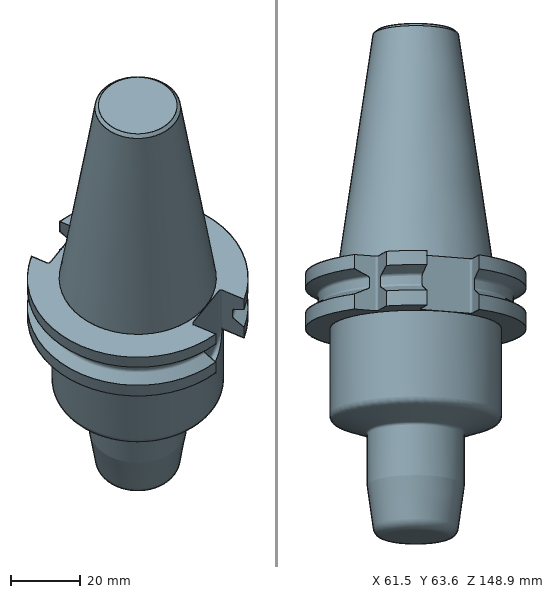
import cadquery as cq
import math

total_height = 148.9
flange_top = 77.5
flange_bottom = 61.3

shank_top_radius = 12.2
shank_slope = 7 / 24 / 2
shank_chamfer = 0.9

flange_radius = 31.79
groove_floor_radius = 28.1
groove_floor_width = 3.3
groove_root_fillet = 0.7
groove_wall_angle = 30.0
groove_center = 69.5

body_radius = 24.7
shoulder_start = 34.4
shoulder_angle = 20.0
shoulder_fillet = 2.1
nose_radius = 14.0
nose_root_fillet = 0.7
nose_cone_start = 15.0
nose_cone_angle = 8.0
nose_tip_fillet = 3.0

slot_width = 16.1
left_slot_floor = 24.9
right_slot_floor = 22.8
slot_floor_fillet = 0.7
notch_x = -18.6
notch_y = 18.6
notch_corner_fillet = 0.7


def tan_degrees(angle):
    return math.tan(math.radians(angle))


def fillet_circle(solid, height, radius):
    """Round the circular edge that lies at the given height."""
    margin = 0.1
    edge_zone = cq.selectors.BoxSelector(
        (-flange_radius - margin, -flange_radius - margin, height - margin),
        (flange_radius + margin, flange_radius + margin, height + margin),
        boundingbox=True,
    )
    return solid.edges(edge_zone).fillet(radius)


def make_shank():
    shank_height = total_height - flange_top
    base_radius = shank_top_radius + shank_height * shank_slope
    profile = [
        (0, flange_top),
        (base_radius, flange_top),
        (shank_top_radius, total_height),
        (0, total_height),
    ]
    shank = cq.Workplane("XZ").polyline(profile).close().revolve(360, (0, 0), (0, 1))
    return shank.faces(">Z").chamfer(shank_chamfer)


def make_flange():
    wall_rise = (flange_radius - groove_floor_radius) * tan_degrees(groove_wall_angle)
    floor_half = groove_floor_width / 2
    mouth_half = floor_half + wall_rise
    profile = [
        (0, flange_bottom),
        (flange_radius, flange_bottom),
        (flange_radius, groove_center - mouth_half),
        (groove_floor_radius, groove_center - floor_half),
        (groove_floor_radius, groove_center + floor_half),
        (flange_radius, groove_center + mouth_half),
        (flange_radius, flange_top),
        (0, flange_top),
    ]
    flange = cq.Workplane("XZ").polyline(profile).close().revolve(360, (0, 0), (0, 1))
    for floor_edge in (groove_center - floor_half, groove_center + floor_half):
        flange = fillet_circle(flange, floor_edge, groove_root_fillet)
    return flange


def make_body():
    shoulder_end = shoulder_start - (body_radius - nose_radius) * tan_degrees(shoulder_angle)
    tip_radius = nose_radius - nose_cone_start * tan_degrees(nose_cone_angle)
    profile = [
        (0, 0),
        (tip_radius, 0),
        (nose_radius, nose_cone_start),
        (nose_radius, shoulder_end),
        (body_radius, shoulder_start),
        (body_radius, flange_bottom),
        (0, flange_bottom),
    ]
    body = cq.Workplane("XZ").polyline(profile).close().revolve(360, (0, 0), (0, 1))
    body = fillet_circle(body, shoulder_start, shoulder_fillet)
    body = fillet_circle(body, shoulder_end, nose_root_fillet)
    return fillet_circle(body, 0, nose_tip_fillet)


def make_drive_slot(floor_distance, side):
    """Radial slot open at the flange top, with a round lower end and a filleted floor."""
    half_width = slot_width / 2
    slot = (
        cq.Workplane("YZ", origin=(side * floor_distance, 0, 0))
        .moveTo(-half_width, flange_top)
        .lineTo(-half_width, flange_bottom)
        .threePointArc((0, flange_bottom - half_width), (half_width, flange_bottom))
        .lineTo(half_width, flange_top)
        .close()
        .extrude(side * flange_radius)
    )
    floor_face = "<X" if side > 0 else ">X"
    floor_sides = slot.faces(floor_face).edges("not >Z")
    return floor_sides.fillet(slot_floor_fillet)


def make_notch():
    """Square corner cut through the whole flange thickness."""
    return (
        cq.Workplane("XY", origin=(notch_x, notch_y, flange_bottom))
        .rect(-flange_radius, flange_radius, centered=False)
        .extrude(flange_top - flange_bottom)
        .edges(cq.selectors.NearestToPointSelector((notch_x, notch_y, groove_center)))
        .fillet(notch_corner_fillet)
    )


result = make_body().union(make_flange()).union(make_shank())
result = result.cut(make_drive_slot(left_slot_floor, -1))
result = result.cut(make_drive_slot(right_slot_floor, 1))
result = result.cut(make_notch())